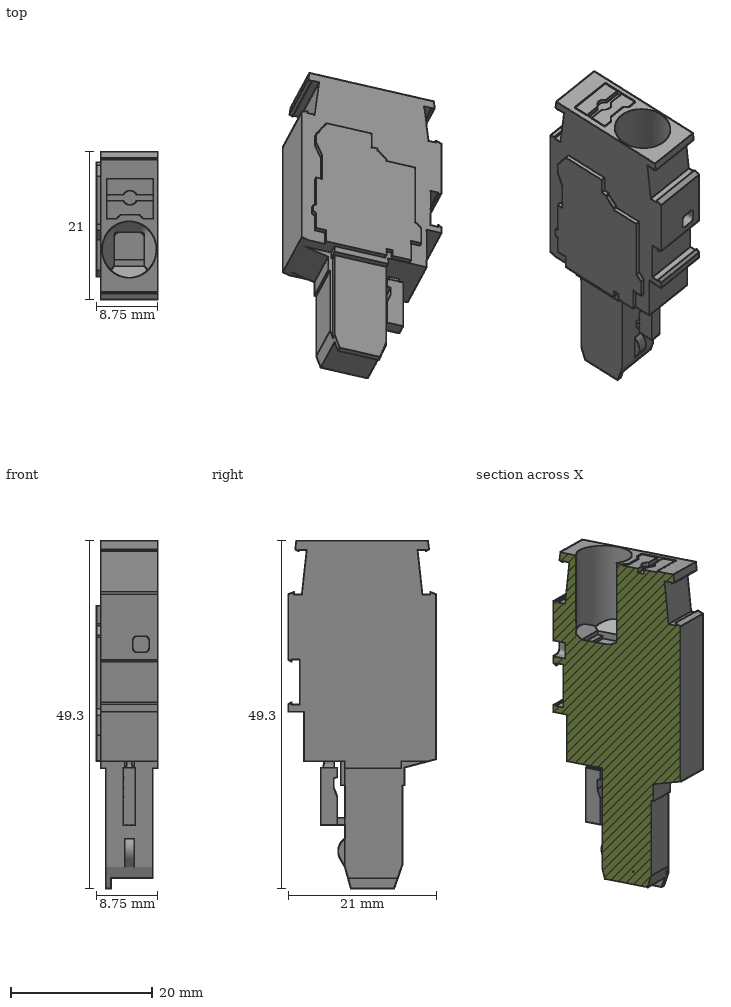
import cadquery as cq


HOUSING_WIDTH = 8.15
COVER_THICKNESS = 0.6
HALF_DEPTH = 10.5
TOTAL_HEIGHT = 49.33
MID_X = HOUSING_WIDTH / 2

HEAD_TOP_HALF = 9.35
HEAD_HALF = 9.5
HEAD_EDGE_Z = -1.25
HEAD_UNDER_Z = -1.34
HEAD_LIP_Z = -1.5
HEAD_LIP_HALF = 9.0
NECK_TOP_HALF = 7.88
NECK_BOTTOM_HALF = 8.56
SHOULDER_Z = -7.6
LIP_RISE = 0.34
SHOULDER_LIP_HALF = 9.64
RECESS_TOP_Z = -16.85
RECESS_BOTTOM_Z = -23.22
RECESS_Y = -8.85
RECESS_LIP_Y = -10.0
LEDGE_BOTTOM_Z = -24.28
LOWER_FRONT_Y = -8.27
HOUSING_BOTTOM_Z = -31.28
BACK_CORNER_Z = -30.99
BACK_RAMP_Y = 9.43

SKIRT_BACK_Y = 5.57
SKIRT_BOTTOM_Z = -32.3
PLUG_X_MIN = 0.74
PLUG_X_MAX = HOUSING_WIDTH - PLUG_X_MIN
PLUG_FRONT_Y = -2.46
PLUG_BACK_Y = 5.73
PLUG_COLLAR_Y = 6.01
PLUG_COLLAR_TOP_Z = -32.18
PLUG_COLLAR_BOTTOM_Z = -34.71
PLUG_TAPER_BACK_Z = -45.92
PLUG_TAPER_FRONT_Z = -46.25
TIP_BACK_Y = 4.54
TIP_FRONT_Y = -1.6
CORE_BOTTOM_Z = -47.84
PLATE_THICKNESS = 0.75
PLATE_BACK_Y = 5.29

ARM_WIDTH = 1.7
RIB_WIDTH = 1.38
LATCH_X = 4.1
RIB_FRONT_Y = -3.06
ARM_FRONT_Y = -5.89
ARM_BACK_Y = -3.5
ARM_WAIST_Y = -3.99
ARM_TOP_Z = -32.18
ARM_STEP_Z = -33.54
ARM_STEP_SLOPE = 0.16
WAIST_RAMP_TOP_Z = -35.05
WAIST_RAMP_BOTTOM_Z = -36.33
ARM_BOTTOM_Z = -40.33
FOOT_TOP_Z = -39.27
NECK_WIDTH = 0.7
NECK_BACK_Y = -3.95
NECK_FRONT_Y = -5.44
NECK_FLARE_Z = -31.68
NECK_FLARE = 0.12
NUB_TOP_Z = -42.25
NUB_CREST = (-3.4, -43.75)
NUB_ARC_END = (-3.2, -44.97)

ENTRY_Y = -3.39
ENTRY_RADIUS_X = 3.85
ENTRY_RADIUS_Y = 4.0
ENTRY_STRAIGHT_DEPTH = 10.0
FUNNEL_DEPTH = 2.5
FUNNEL_SPREAD_X = 2.6
FUNNEL_SPREAD_Y = 3.6
FUNNEL_CORNER = 1.4
THROAT_CORNER = 0.5
THROAT_WIDTH = 4.32
THROAT_FRONT_Y = -5.74
THROAT_BACK_Y = -0.93
THROAT_DEPTH = 1.0
THROAT_STEP_Y = -4.86
THROAT_STEP_HEIGHT = 0.4

BUTTON_X_MIN = 0.9
BUTTON_X_MAX = 7.45
BUTTON_MID_X = (BUTTON_X_MIN + BUTTON_X_MAX) / 2
BUTTON_BACK_Y = 6.63
BUTTON_FRONT_Y = 0.95
BUTTON_NOTCH_Y = 1.56
BUTTON_NOTCH_HALF = 1.33
BUTTON_NOTCH_FOOT_HALF = 1.92
BUTTON_DEPTH = 0.15
SLIT_Y = 3.95
SLIT_WIDTH = 0.86
SLIT_DEPTH = 0.8
SLIT_BORE_RADIUS = 1.02

WINDOW_X = 5.73
WINDOW_Z = -14.68
WINDOW_SIZE = 2.3
WINDOW_CORNER = 0.6
WINDOW_DEPTH = 2.0


def side_prism(points, x_min, x_max):
    """Closed (y, z) outline extruded along X."""
    return cq.Workplane("YZ", origin=(x_min, 0, 0)).polyline(points).close().extrude(x_max - x_min)


def block(x_range, y_range, z_range):
    """Axis-aligned box given by its limits."""
    size = [high - low for low, high in (x_range, y_range, z_range)]
    low_corner = (x_range[0], y_range[0], z_range[0])
    return cq.Workplane("XY").box(*size, centered=False).translate(low_corner)


def across(center, width):
    """Limits of a width centred on a position."""
    return center - width / 2, center + width / 2


def housing():
    half = [
        (HEAD_TOP_HALF, 0),
        (HEAD_HALF, HEAD_EDGE_Z),
        (HEAD_LIP_HALF, HEAD_LIP_Z),
        (HEAD_LIP_HALF, HEAD_UNDER_Z),
        (NECK_TOP_HALF, HEAD_UNDER_Z),
        (NECK_BOTTOM_HALF, SHOULDER_Z),
        (SHOULDER_LIP_HALF, SHOULDER_Z),
        (SHOULDER_LIP_HALF, SHOULDER_Z + LIP_RISE),
        (HALF_DEPTH, SHOULDER_Z),
    ]
    front = [(-y, z) for y, z in half]
    front += [
        (-HALF_DEPTH, RECESS_TOP_Z),
        (RECESS_LIP_Y, RECESS_TOP_Z - LIP_RISE),
        (RECESS_LIP_Y, RECESS_TOP_Z),
        (RECESS_Y, RECESS_TOP_Z),
        (RECESS_Y, RECESS_BOTTOM_Z),
        (RECESS_LIP_Y, RECESS_BOTTOM_Z),
        (RECESS_LIP_Y, RECESS_BOTTOM_Z + LIP_RISE),
        (-HALF_DEPTH, RECESS_BOTTOM_Z),
        (-HALF_DEPTH, LEDGE_BOTTOM_Z),
        (LOWER_FRONT_Y, LEDGE_BOTTOM_Z),
        (LOWER_FRONT_Y, HOUSING_BOTTOM_Z),
    ]
    back = [(BACK_RAMP_Y, HOUSING_BOTTOM_Z), (HALF_DEPTH, BACK_CORNER_Z)]
    body = side_prism(front + back + half[::-1], 0, HOUSING_WIDTH)
    skirt = block(
        (0, HOUSING_WIDTH),
        (PLUG_FRONT_Y, SKIRT_BACK_Y),
        (SKIRT_BOTTOM_Z, HOUSING_BOTTOM_Z),
    )
    return body.union(skirt)


def cover():
    """Raised side cover, from its top back corner round by the front."""
    outline = [
        (7.0, -9.22),
        (0.2, -9.22),
        (0.2, -11.77),
        (-0.67, -11.77),
        (-0.67, -12.06),
        (-2.03, -13.44),
        (-2.03, -13.71),
        (-6.32, -13.71),
        (-6.32, -23.85),
        (-7.25, -24.75),
        (-7.25, -27.57),
        (-5.72, -27.57),
        (-5.72, -31.17),
        (-2.93, -31.17),
        (-2.93, -30.09),
        (-2.03, -30.09),
        (-2.03, HOUSING_BOTTOM_Z),
        (7.05, HOUSING_BOTTOM_Z),
        (7.05, -29.2),
        (8.56, -29.2),
        (8.56, -26.5),
        (9.01, -26.09),
        (9.01, -25.1),
        (8.56, -24.82),
        (8.56, -19.8),
        (7.65, -19.8),
        (7.65, -15.42),
        (8.56, -13.24),
        (8.56, -11.69),
    ]
    return side_prism(outline, -COVER_THICKNESS, 0)


def plug():
    plug_outline = [
        (PLUG_FRONT_Y, HOUSING_BOTTOM_Z),
        (BACK_RAMP_Y, HOUSING_BOTTOM_Z),
        (PLUG_COLLAR_Y, PLUG_COLLAR_TOP_Z),
        (PLUG_COLLAR_Y, PLUG_COLLAR_BOTTOM_Z),
        (PLUG_BACK_Y, PLUG_COLLAR_BOTTOM_Z),
        (PLUG_BACK_Y, PLUG_TAPER_BACK_Z),
        (TIP_BACK_Y, -TOTAL_HEIGHT),
        (TIP_FRONT_Y, -TOTAL_HEIGHT),
        (PLUG_FRONT_Y, PLUG_TAPER_FRONT_Z),
    ]
    full = side_prism(plug_outline, PLUG_X_MIN, PLUG_X_MAX)
    plate_x = PLUG_X_MIN + PLATE_THICKNESS
    core = block((plate_x, PLUG_X_MAX), (-HALF_DEPTH, HALF_DEPTH), (CORE_BOTTOM_Z, 0))
    plate = block((PLUG_X_MIN, plate_x), (-HALF_DEPTH, PLATE_BACK_Y), (-TOTAL_HEIGHT, 0))
    return full.intersect(core.union(plate))


def latch_arm():
    arm_outline = [
        (ARM_FRONT_Y, ARM_TOP_Z),
        (ARM_BACK_Y, ARM_TOP_Z),
        (ARM_BACK_Y, ARM_STEP_Z),
        (ARM_WAIST_Y, ARM_STEP_Z - ARM_STEP_SLOPE),
        (ARM_WAIST_Y, WAIST_RAMP_TOP_Z),
        (ARM_BACK_Y, WAIST_RAMP_BOTTOM_Z),
        (ARM_BACK_Y, ARM_BOTTOM_Z),
        (ARM_FRONT_Y, ARM_BOTTOM_Z),
    ]
    arm = side_prism(arm_outline, *across(LATCH_X, ARM_WIDTH))
    rib = block(
        across(LATCH_X, RIB_WIDTH),
        (RIB_FRONT_Y, PLUG_FRONT_Y),
        (PLUG_COLLAR_BOTTOM_Z, HOUSING_BOTTOM_Z),
    )
    neck_x = across(LATCH_X, NECK_WIDTH)
    foot = block(neck_x, (ARM_BACK_Y, PLUG_FRONT_Y), (ARM_BOTTOM_Z, FOOT_TOP_Z))
    neck = block(neck_x, (NECK_FRONT_Y, NECK_BACK_Y), (ARM_TOP_Z, HOUSING_BOTTOM_Z))
    neck_length = NECK_BACK_Y - NECK_FRONT_Y
    neck_y = (NECK_FRONT_Y + NECK_BACK_Y) / 2
    flare = (
        cq.Workplane("XY", origin=(LATCH_X, neck_y, NECK_FLARE_Z))
        .rect(NECK_WIDTH, neck_length)
        .workplane(offset=ARM_TOP_Z - NECK_FLARE_Z)
        .center(0, -NECK_FLARE / 2)
        .rect(NECK_WIDTH + 2 * NECK_FLARE, neck_length + NECK_FLARE)
        .loft()
    )
    return arm.union(rib).union(foot).union(neck).union(flare)


def nub():
    x_min, x_max = across(LATCH_X, RIB_WIDTH)
    return (
        cq.Workplane("YZ", origin=(x_min, 0, 0))
        .moveTo(PLUG_FRONT_Y, NUB_TOP_Z)
        .threePointArc(NUB_CREST, NUB_ARC_END)
        .lineTo(PLUG_FRONT_Y, PLUG_TAPER_FRONT_Z)
        .close()
        .extrude(x_max - x_min)
    )


def entry_bore(top_z, depth):
    """Elliptical stretch of the wire entry."""
    return (
        cq.Workplane("XY", origin=(MID_X, ENTRY_Y, top_z))
        .ellipse(ENTRY_RADIUS_X, ENTRY_RADIUS_Y)
        .extrude(-depth)
    )


def entry_funnel():
    """Tapered lower end of the wire entry, trimmed by the bore, with its stepped throat."""
    depth = ENTRY_STRAIGHT_DEPTH + FUNNEL_DEPTH
    throat_length = THROAT_BACK_Y - THROAT_FRONT_Y
    throat_y = (THROAT_BACK_Y + THROAT_FRONT_Y) / 2
    funnel = (
        cq.Workplane("XY", origin=(MID_X, throat_y, -depth))
        .rect(THROAT_WIDTH, throat_length)
        .workplane(offset=FUNNEL_DEPTH)
        .rect(THROAT_WIDTH + 2 * FUNNEL_SPREAD_X, throat_length + 2 * FUNNEL_SPREAD_Y)
        .loft()
        .edges("not #Z")
        .edges(">Y")
        .fillet(FUNNEL_CORNER)
    )
    throat_x = across(MID_X, THROAT_WIDTH)
    bottom = -depth - THROAT_DEPTH
    throat = block(throat_x, (THROAT_FRONT_Y, THROAT_BACK_Y), (bottom, -depth))
    throat = throat.edges("|Z and >Y").fillet(THROAT_CORNER)
    step = block(throat_x, (THROAT_FRONT_Y, THROAT_STEP_Y), (bottom, bottom + THROAT_STEP_HEIGHT))
    trimmed = funnel.intersect(entry_bore(-ENTRY_STRAIGHT_DEPTH, FUNNEL_DEPTH))
    return trimmed.union(throat.cut(step))


def release_button():
    outline = [
        (BUTTON_X_MIN, BUTTON_BACK_Y),
        (BUTTON_X_MAX, BUTTON_BACK_Y),
        (BUTTON_X_MAX, BUTTON_FRONT_Y),
        (BUTTON_MID_X + BUTTON_NOTCH_FOOT_HALF, BUTTON_FRONT_Y),
        (BUTTON_MID_X + BUTTON_NOTCH_HALF, BUTTON_NOTCH_Y),
        (BUTTON_MID_X - BUTTON_NOTCH_HALF, BUTTON_NOTCH_Y),
        (BUTTON_MID_X - BUTTON_NOTCH_FOOT_HALF, BUTTON_FRONT_Y),
        (BUTTON_X_MIN, BUTTON_FRONT_Y),
    ]
    pocket = cq.Workplane("XY").polyline(outline).close().extrude(-BUTTON_DEPTH)
    slit = block((BUTTON_X_MIN, BUTTON_X_MAX), across(SLIT_Y, SLIT_WIDTH), (-SLIT_DEPTH, 0))
    bore = cq.Workplane("XY").center(BUTTON_MID_X, SLIT_Y).circle(SLIT_BORE_RADIUS).extrude(-SLIT_DEPTH)
    return pocket.union(slit).union(bore)


def test_window():
    window = block(
        across(WINDOW_X, WINDOW_SIZE),
        (-HALF_DEPTH, -HALF_DEPTH + WINDOW_DEPTH),
        across(WINDOW_Z, WINDOW_SIZE),
    )
    return window.edges("|Y").fillet(WINDOW_CORNER)


result = housing().union(cover()).union(plug()).union(latch_arm()).union(nub())
result = result.cut(entry_bore(0, ENTRY_STRAIGHT_DEPTH)).cut(entry_funnel())
result = result.cut(release_button()).cut(test_window())